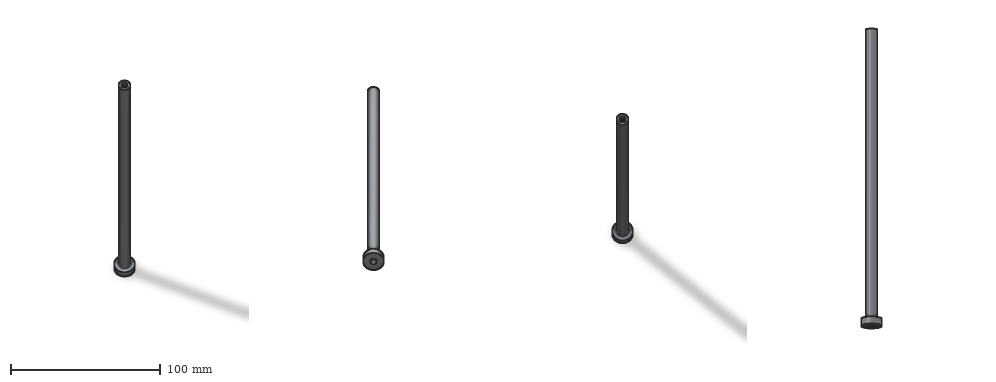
import cadquery as cq

total_length = 205.0
head_diameter = 14.0
head_height = 5.0
shaft_diameter = 8.0
bore_diameter = 4.5
root_fillet = 0.5


def cylinder(diameter, height):
    """Upright cylinder on the Z axis, standing on the XY plane."""
    return cq.Workplane("XY").circle(diameter / 2).extrude(height)


head = cylinder(head_diameter, head_height)
shaft = cylinder(shaft_diameter, total_length)
body = head.union(shaft)

shaft_radius = shaft_diameter / 2
margin = root_fillet / 2
root_corner = cq.selectors.BoxSelector(
    (-shaft_radius - margin, -shaft_radius - margin, head_height - margin),
    (shaft_radius + margin, shaft_radius + margin, head_height + margin),
    boundingbox=True,
)
body = body.edges(root_corner).fillet(root_fillet)

result = body.cut(cylinder(bore_diameter, total_length))